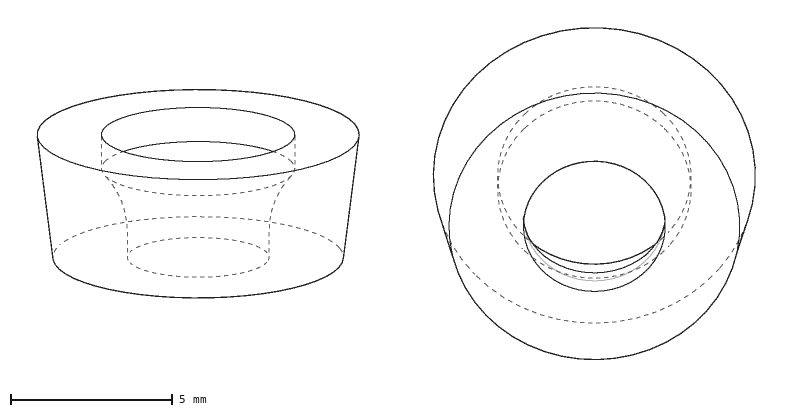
import cadquery as cq
import math

top_radius = 5.0
height = 3.97
clearance_angle = 7.0

recess_radius = 3.0
recess_depth = 1.1
bore_radius = 2.2
flare_height = 2.05

bottom_radius = top_radius - height * math.tan(math.radians(clearance_angle))
recess_floor = height - recess_depth
flare_bottom = recess_floor - flare_height

flare_width = recess_radius - bore_radius
flare_radius = (flare_height**2 + flare_width**2) / (2 * flare_width)
flare_sweep = math.asin(flare_height / flare_radius)
flare_middle = (
    bore_radius + flare_radius * (1 - math.cos(flare_sweep / 2)),
    flare_bottom + flare_radius * math.sin(flare_sweep / 2),
)

section = (
    cq.Workplane("XZ")
    .moveTo(bore_radius, 0)
    .lineTo(bottom_radius, 0)
    .lineTo(top_radius, height)
    .lineTo(recess_radius, height)
    .lineTo(recess_radius, recess_floor)
    .threePointArc(flare_middle, (bore_radius, flare_bottom))
    .close()
)
result = section.revolve(360, (0, 0, 0), (0, 1, 0))